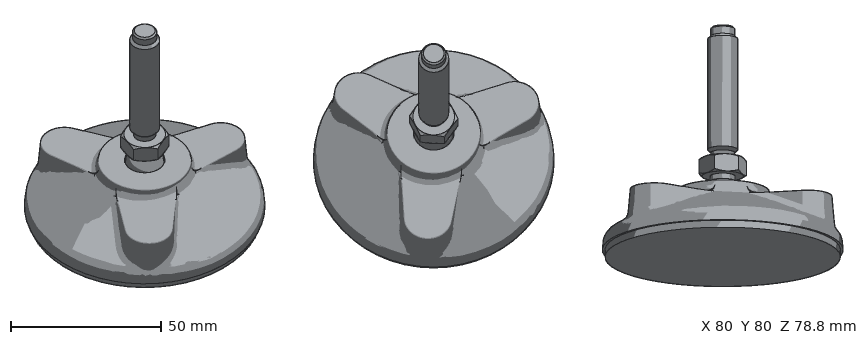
import cadquery as cq
import math


OVERALL_HEIGHT = 78.78
DRAFT = 5.0
FUSE_TOLERANCE = 1e-3

PAD_RADIUS = 78.2 / 2
PAD_HEIGHT = 2.4

RIM_RADIUS = 40.0
RIM_ROUND = 3.8
CONE_ANGLE = 25.5
CONE_MID_RADIUS = 28.2
CONE_MID_HEIGHT = 12.57

HUB_RADIUS = 15.55
HUB_TOP = 22.5
HUB_ROOT_ROUND = 5.5
HUB_EDGE_FILLET = 0.4
HUB_SKIRT_RADIUS = 25.0

BOSS_COUNT = 3
BOSS_TOP = 18.4
BOSS_NOSE_CENTRE = 30.0
BOSS_NOSE_RADIUS = 8.0
BOSS_FLARE = 7.0
BOSS_INNER_END = 8.0
BOSS_ROOT_FILLET = 3.0
BOSS_EDGE_FILLET = 0.5
BOSS_HUB_FILLET = 3.0

SOCKET_RADIUS = 13.38 / 2
BALL_RADIUS = 6.5
BALL_CENTRE = 20.9
SHANK_RADIUS = 4.15

HEX_BOTTOM = 27.7
HEX_HEIGHT = 6.0
HEX_ACROSS_FLATS = 14.0
HEX_FACE_DIAMETER = 13.8
HEX_CHAMFER_ANGLE = 30.0

NECK_BOTTOM_RADIUS = 7.5 / 2
NECK_TOP_RADIUS = 7.91 / 2
ROD_RADIUS = 10.0 / 2
ROD_BOTTOM = 35.75
ROD_TOP = 75.75
TIP_RADIUS = 8.06 / 2
TIP_CHAMFER = 0.6


def direction(degrees):
    """Unit vector in the (radius, height) profile plane."""
    angle = math.radians(degrees)
    return cq.Vector(math.cos(angle), math.sin(angle))


RIM_WALL_UP = direction(90 + DRAFT)
HUB_WALL_UP = direction(90)
CONE_UP = direction(180 - CONE_ANGLE)


def cone_height(radius):
    """Height of the cone surface at a given radius."""
    return CONE_MID_HEIGHT + (CONE_MID_RADIUS - radius) * math.tan(math.radians(CONE_ANGLE))


def tangent_round(corner, before, after, radius):
    """Start, middle and end of the arc that rounds a profile corner."""
    half_turn = before.getAngle(after) / 2
    tangent_length = radius * math.tan(half_turn)
    sagitta = radius / math.cos(half_turn) - radius
    start = corner - before * tangent_length
    middle = corner + (after - before).normalized() * sagitta
    end = corner + after * tangent_length
    return [point.toTuple()[:2] for point in (start, middle, end)]


def rim_round():
    """Arc between the drafted rim wall and the cone."""
    draft = math.tan(math.radians(DRAFT))
    slope = math.tan(math.radians(CONE_ANGLE))
    rise = (cone_height(RIM_RADIUS) - PAD_HEIGHT) / (1 - draft * slope)
    corner = cq.Vector(RIM_RADIUS - rise * draft, PAD_HEIGHT + rise)
    return tangent_round(corner, RIM_WALL_UP, CONE_UP, RIM_ROUND)


def hub_round():
    """Arc between the cone and the upright hub wall."""
    corner = cq.Vector(HUB_RADIUS, cone_height(HUB_RADIUS))
    return tangent_round(corner, CONE_UP, HUB_WALL_UP, HUB_ROOT_ROUND)


def revolve(profile):
    return profile.close().revolve(360, (0, 0), (0, 1))


def turn_about_z(shape, degrees):
    return shape.rotate((0, 0, 0), (0, 0, 1), degrees)


def make_cone_base():
    """Pad, rim and full cone up to its apex."""
    start, middle, end = rim_round()
    profile = (
        cq.Workplane("XZ")
        .polyline([(0, 0), (PAD_RADIUS, 0), (PAD_RADIUS, PAD_HEIGHT), (RIM_RADIUS, PAD_HEIGHT)])
        .lineTo(*start)
        .threePointArc(middle, end)
        .lineTo(0, cone_height(0))
    )
    return revolve(profile)


def make_hub():
    """Hub with its root round and a skirt of cone around it, down to the ground."""
    start, middle, end = hub_round()
    profile = (
        cq.Workplane("XZ")
        .polyline([(0, 0), (HUB_SKIRT_RADIUS, 0), (HUB_SKIRT_RADIUS, cone_height(HUB_SKIRT_RADIUS))])
        .lineTo(*start)
        .threePointArc(middle, end)
        .lineTo(HUB_RADIUS, HUB_TOP)
        .lineTo(0, HUB_TOP)
    )
    return revolve(profile)


def keep_box(low_y, height):
    """Box that holds everything beyond low_y and below the given height."""
    size = 4 * RIM_RADIUS
    return cq.Workplane("XY", origin=(0, low_y, 0)).box(size, size, height, centered=(True, False, False))


def make_boss_stem():
    """Drafted boss along +Y, taller than the boss itself so that it stands clear of the cone."""
    flare = math.radians(BOSS_FLARE)
    nose_radius = BOSS_NOSE_RADIUS + (BOSS_TOP - PAD_HEIGHT) * math.tan(math.radians(DRAFT))
    side_x = nose_radius * math.cos(flare)
    side_y = BOSS_NOSE_CENTRE + nose_radius * math.sin(flare)
    inner_x = side_x + side_y * math.tan(flare)
    return (
        cq.Workplane("XY", origin=(0, 0, PAD_HEIGHT))
        .moveTo(-inner_x, 0)
        .lineTo(-side_x, side_y)
        .threePointArc((0, BOSS_NOSE_CENTRE + nose_radius), (side_x, side_y))
        .lineTo(inner_x, 0)
        .close()
        .extrude(cone_height(0) - PAD_HEIGHT, taper=DRAFT)
    )


def make_boss_sector(cone_base):
    """The +Y part of the base with one boss and the fillet around the boss root."""
    sector = keep_box(BOSS_INNER_END, OVERALL_HEIGHT)
    sector_with_stem = cone_base.intersect(sector).union(make_boss_stem().intersect(sector))
    reach = 1.5 * BOSS_NOSE_RADIUS
    above_rim_wall = rim_round()[1][1]
    root = cq.selectors.BoxSelector(
        (-reach, BOSS_INNER_END + BOSS_EDGE_FILLET, above_rim_wall),
        (reach, RIM_RADIUS, BOSS_TOP),
    )
    filleted = sector_with_stem.edges(root).fillet(BOSS_ROOT_FILLET)
    return filleted.intersect(keep_box(BOSS_INNER_END, BOSS_TOP))


def make_boss_hub_fillet():
    """Fillet between the top of the +Y boss and the hub, as wide as the boss."""
    wall_centre_radius = HUB_RADIUS + HUB_ROOT_ROUND
    wall_centre_height = hub_round()[2][1]
    centre_height = BOSS_TOP + BOSS_HUB_FILLET
    spacing = HUB_ROOT_ROUND - BOSS_HUB_FILLET
    touch_angle = math.asin((wall_centre_height - centre_height) / spacing)
    centre_radius = wall_centre_radius - spacing * math.cos(touch_angle)

    def on_fillet(angle):
        return (
            centre_radius - BOSS_HUB_FILLET * math.cos(angle),
            centre_height - BOSS_HUB_FILLET * math.sin(angle),
        )

    middle = on_fillet((touch_angle + math.pi / 2) / 2)
    end = on_fillet(touch_angle)
    embedded_radius = HUB_RADIUS - 1.0
    embedded_height = BOSS_TOP - BOSS_EDGE_FILLET
    ring = revolve(
        cq.Workplane("XZ")
        .moveTo(embedded_radius, embedded_height)
        .lineTo(centre_radius, embedded_height)
        .lineTo(centre_radius, BOSS_TOP)
        .threePointArc(middle, end)
        .lineTo(embedded_radius, end[1])
    )
    ring = turn_about_z(ring, 180)
    return ring.intersect(make_boss_stem().intersect(keep_box(BOSS_INNER_END, OVERALL_HEIGHT)))


def edges_at_height(shape, height):
    margin = 0.02
    size = 4 * RIM_RADIUS
    slab = cq.selectors.BoxSelector(
        (-size, -size, height - margin), (size, size, height + margin), boundingbox=True
    )
    return shape.edges(slab)


def make_foot():
    """Complete base: cone, bosses and hub."""
    boss_angles = [index * 360 / BOSS_COUNT for index in range(BOSS_COUNT)]
    between_bosses = 90 - 180 / BOSS_COUNT
    cone_base = make_cone_base()
    sector = make_boss_sector(cone_base)
    foot = turn_about_z(cone_base, between_bosses).intersect(keep_box(-2 * RIM_RADIUS, BOSS_TOP))
    for angle in boss_angles:
        foot = foot.union(turn_about_z(sector, angle), tol=FUSE_TOLERANCE)
    foot = foot.union(turn_about_z(make_hub(), between_bosses), tol=FUSE_TOLERANCE)

    hub_limit = HUB_RADIUS + BOSS_EDGE_FILLET
    boss_outlines = edges_at_height(foot, BOSS_TOP).filter(
        lambda edge: math.hypot(edge.Center().x, edge.Center().y) > hub_limit
    )
    foot = boss_outlines.fillet(BOSS_EDGE_FILLET)
    hub_fillet = make_boss_hub_fillet()
    for angle in boss_angles:
        foot = foot.union(turn_about_z(hub_fillet, angle), tol=FUSE_TOLERANCE)
    return edges_at_height(foot, HUB_TOP).fillet(HUB_EDGE_FILLET)


def make_socket():
    """Round recess in the hub, down to the widest part of the ball."""
    return cq.Workplane("XY", origin=(0, 0, BALL_CENTRE)).circle(SOCKET_RADIUS).extrude(HUB_TOP - BALL_CENTRE)


def make_hexagon():
    """Hexagon with both faces chamfered by a cone."""
    corner_radius = HEX_ACROSS_FLATS / math.sqrt(3)
    face_radius = HEX_FACE_DIAMETER / 2
    chamfer_height = (corner_radius - face_radius) * math.tan(math.radians(HEX_CHAMFER_ANGLE))
    hex_top = HEX_BOTTOM + HEX_HEIGHT
    prism = (
        cq.Workplane("XY", origin=(0, 0, HEX_BOTTOM))
        .polygon(6, 2 * corner_radius)
        .extrude(HEX_HEIGHT)
    )
    envelope = revolve(
        cq.Workplane("XZ").polyline(
            [
                (0, HEX_BOTTOM),
                (face_radius, HEX_BOTTOM),
                (corner_radius, HEX_BOTTOM + chamfer_height),
                (corner_radius, hex_top - chamfer_height),
                (face_radius, hex_top),
                (0, hex_top),
            ]
        )
    )
    return prism.intersect(envelope)


def make_spindle():
    """Ball, shank, hexagon, neck, threaded rod and tip."""
    hex_top = HEX_BOTTOM + HEX_HEIGHT
    lower_chamfer = ROD_RADIUS - NECK_TOP_RADIUS
    upper_chamfer = ROD_RADIUS - TIP_RADIUS
    outline = [
        (0, BALL_CENTRE),
        (SHANK_RADIUS, BALL_CENTRE),
        (SHANK_RADIUS, HEX_BOTTOM),
        (NECK_BOTTOM_RADIUS, hex_top),
        (NECK_TOP_RADIUS, ROD_BOTTOM),
        (ROD_RADIUS, ROD_BOTTOM + lower_chamfer),
        (ROD_RADIUS, ROD_TOP - upper_chamfer),
        (TIP_RADIUS, ROD_TOP),
        (TIP_RADIUS, OVERALL_HEIGHT - TIP_CHAMFER),
        (TIP_RADIUS - TIP_CHAMFER, OVERALL_HEIGHT),
        (0, OVERALL_HEIGHT),
    ]
    rod = revolve(cq.Workplane("XZ").polyline(outline))
    ball = cq.Workplane("XY", origin=(0, 0, BALL_CENTRE)).sphere(BALL_RADIUS)
    return rod.union(ball).union(make_hexagon())


foot = make_foot().cut(make_socket())
result = foot.union(make_spindle())